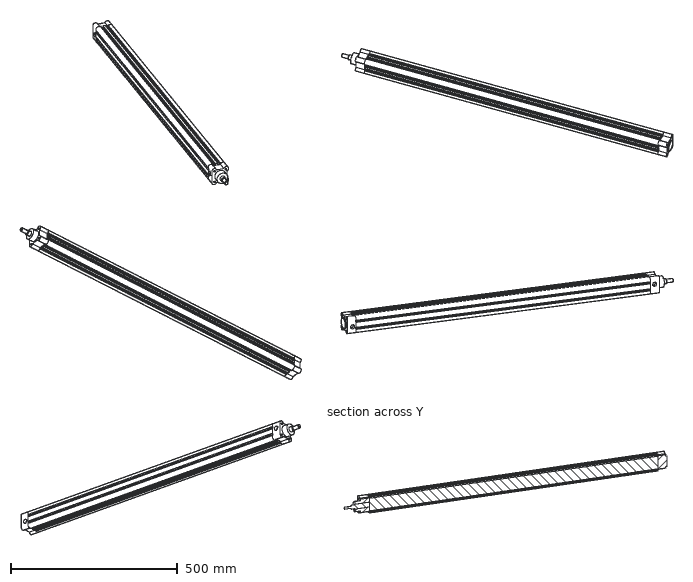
import cadquery as cq
import math

overall_length = 1063.0
side = 54.0
half_side = side / 2
corner_radius = 8.0
corner_offset = half_side - corner_radius

boss_diameter = 35.0
rear_boss_length = 4.0
front_boss_length = 19.0
rear_boss_chamfer = 1.0

rear_cap_length = 27.0
front_cap_length = 30.0
caps_and_barrel_length = 1006.0
barrel_end = caps_and_barrel_length - front_cap_length

recess_depth = 5.0

screw_hole_diameter = 4.0
screw_offset = 18.0
screw_hole_depth = 11.0

port_diameter = 13.0
port_depth = 11.0
port_from_cap_face = 16.0
port_offset = 4.8

t_slot_mouth_width = 6.0
t_slot_inner_width = 9.0
t_slot_lip = 2.7
t_slot_depth = 6.0
t_slot_offset = 8.0

sensor_slot_mouth_width = 6.0
sensor_slot_mouth_depth = 3.0
sensor_slot_width = 2.0
sensor_slot_depth = 6.0
sensor_slot_offset = 11.2

rod_diameter = 16.0
rod_shoulder = caps_and_barrel_length + 32.0
thread_diameter = 12.0
thread_chamfer = 1.6
rod_tip = overall_length - rear_boss_length

t_slot_turns = (0, -90, 180)


def round_bar(start, end, diameter):
    """Cylinder on the X axis."""
    return cq.Workplane("YZ", origin=(start, 0, 0)).circle(diameter / 2).extrude(end - start)


def square_bar(start, end):
    """Square bar along X with rounded corners."""
    bar = cq.Workplane("YZ", origin=(start, 0, 0)).rect(side, side).extrude(end - start)
    return bar.edges("|X").fillet(corner_radius)


def make_cap_body(start, end):
    """Cap with round corner posts; the -Y side stays flat and the other three are recessed."""
    floor = half_side - recess_depth
    post_reach = math.sqrt(corner_radius**2 - (floor - corner_offset) ** 2)
    inner = corner_offset - post_reach
    outer = corner_offset + corner_radius / math.sqrt(2)
    outline = (
        cq.Workplane("YZ", origin=(start, 0, 0))
        .moveTo(-half_side, -corner_offset)
        .lineTo(-half_side, corner_offset)
        .threePointArc((-outer, outer), (-inner, floor))
        .lineTo(inner, floor)
        .threePointArc((outer, outer), (floor, inner))
        .lineTo(floor, -inner)
        .threePointArc((outer, -outer), (inner, -floor))
        .lineTo(-inner, -floor)
        .threePointArc((-outer, -outer), (-half_side, -corner_offset))
        .close()
    )
    return outline.extrude(end - start)


def cut_port(cap, x, z):
    """Blind port into the flat -Y side of a cap."""
    port = (
        cq.Workplane("XZ", origin=(x, -half_side, z))
        .circle(port_diameter / 2)
        .extrude(-port_depth)
    )
    return cap.cut(port)


def cut_screw_holes(cap, start):
    """Four blind holes, one in each corner post, running along +X from start."""
    holes = (
        cq.Workplane("YZ", origin=(start, 0, 0))
        .rect(2 * screw_offset, 2 * screw_offset, forConstruction=True)
        .vertices()
        .circle(screw_hole_diameter / 2)
        .extrude(screw_hole_depth)
    )
    return cap.cut(holes)


def make_rear_cap():
    """Rear cap with its short centring boss."""
    cap = make_cap_body(0, rear_cap_length)
    boss = round_bar(-rear_boss_length, rear_cap_length, boss_diameter)
    cap = cap.union(boss.faces("<X").chamfer(rear_boss_chamfer))
    cap = cut_port(cap, port_from_cap_face, -port_offset)
    return cut_screw_holes(cap, 0)


def make_front_cap():
    """Front cap with its boss, bored through for the piston rod."""
    cap = make_cap_body(barrel_end, caps_and_barrel_length)
    cap = cap.union(round_bar(barrel_end, caps_and_barrel_length + front_boss_length, boss_diameter))
    cap = cut_port(cap, caps_and_barrel_length - port_from_cap_face, port_offset)
    cap = cut_screw_holes(cap, caps_and_barrel_length - screw_hole_depth)
    return cap.cut(round_bar(barrel_end, rod_shoulder, rod_diameter))


def t_slot(start, end, offset, turn):
    """Cutter for a T-slot in the +Z face, turned about X onto another face."""
    lip_underside = half_side - t_slot_lip
    floor = half_side - t_slot_depth
    mouth_left = offset - t_slot_mouth_width / 2
    mouth_right = offset + t_slot_mouth_width / 2
    inner_left = offset - t_slot_inner_width / 2
    inner_right = offset + t_slot_inner_width / 2
    outline = [
        (mouth_left, half_side),
        (mouth_left, lip_underside),
        (inner_left, lip_underside),
        (inner_left, floor),
        (inner_right, floor),
        (inner_right, lip_underside),
        (mouth_right, lip_underside),
        (mouth_right, half_side),
    ]
    cutter = cq.Workplane("YZ", origin=(start, 0, 0)).polyline(outline).close().extrude(end - start)
    return cutter.rotate((0, 0, 0), (1, 0, 0), turn)


def sensor_slot(start, end, offset):
    """Cutter for a slot in the -Y face, its mouth flared by sloping lips."""
    face = -half_side
    throat = face + sensor_slot_mouth_depth
    floor = face + sensor_slot_depth
    outline = [
        (face, offset - sensor_slot_mouth_width / 2),
        (throat, offset - sensor_slot_width / 2),
        (floor, offset - sensor_slot_width / 2),
        (floor, offset + sensor_slot_width / 2),
        (throat, offset + sensor_slot_width / 2),
        (face, offset + sensor_slot_mouth_width / 2),
    ]
    return cq.Workplane("YZ", origin=(start, 0, 0)).polyline(outline).close().extrude(end - start)


def make_barrel():
    """Slotted barrel between the two caps."""
    span = (rear_cap_length, barrel_end)
    barrel = square_bar(*span)
    for sign in (-1, 1):
        for turn in t_slot_turns:
            barrel = barrel.cut(t_slot(*span, sign * t_slot_offset, turn))
        barrel = barrel.cut(sensor_slot(*span, sign * sensor_slot_offset))
    return barrel


def make_rod():
    """Piston rod whose shoulder tapers down to the threaded end."""
    shank = round_bar(barrel_end, rod_shoulder, rod_diameter)
    shank = shank.faces(">X").chamfer((rod_diameter - thread_diameter) / 2)
    thread = round_bar(rod_shoulder, rod_tip, thread_diameter).faces(">X").chamfer(thread_chamfer)
    return shank.union(thread)


rear_cap = make_rear_cap()
barrel = make_barrel()
front_cap = make_front_cap()
piston_rod = make_rod()

result = cq.Compound.makeCompound(
    [rear_cap.val(), barrel.val(), front_cap.val(), piston_rod.val()]
)